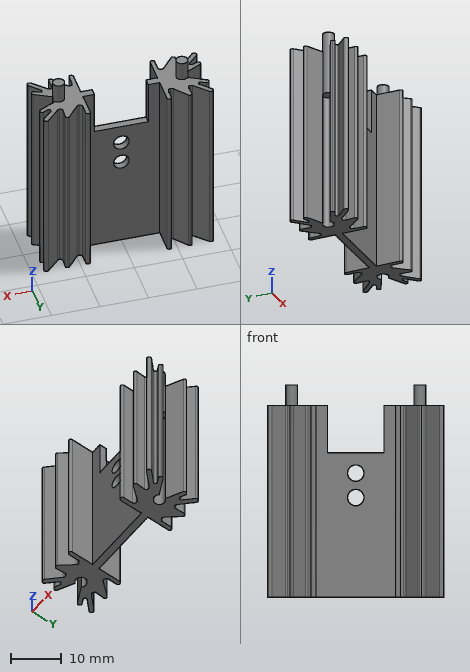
import cadquery as cq
import math

total_length = 34.9
total_width = 12.7
total_height = 42.05
sink_height = 38.02
half_length = total_length / 2
half_width = total_width / 2

pin_diameter = 2.4
pin_spacing = 25.4
pin_x = pin_spacing / 2
pin_embedment = 9.4

web_thickness = 1.6
notch_width = 11.1
notch_depth = 9.4
mounting_hole_diameter = 3.2
mounting_hole_heights = (19.75, 24.6)

inner_face_x = 7.9
straight_fin_thickness = 0.93
straight_fin_outer_x = inner_face_x + straight_fin_thickness
straight_fin_radius = straight_fin_thickness / 2

wedge_tip_left_x = 12.4
wedge_tip_right_x = 13.1
wedge_root_right_x = 12.9
wedge_tip_radius = 0.4
first_groove_y = 3.2
first_groove_right_x = 9.75
first_groove_radius = 0.6
second_groove_y = 3.35
second_groove_radius = 0.55

diagonal_fin_radius = 0.5
diagonal_tip_x = half_length - diagonal_fin_radius
diagonal_tip_y = half_width - diagonal_fin_radius
diagonal_corner_offset = diagonal_fin_radius * math.sqrt(2)
second_groove_right_x = diagonal_tip_x - (diagonal_tip_y + diagonal_corner_offset - second_groove_y)

outer_groove_upper_y = 3.45
outer_groove_upper_x = diagonal_tip_x + diagonal_corner_offset - (diagonal_tip_y - outer_groove_upper_y)
outer_groove_lower_x = 15.15
outer_groove_lower_y = 2.6
outer_groove_radius = 0.38

outer_fin_half_thickness = 0.45
outer_tip_radius = 0.4
outer_fin_angle = math.radians(26.5)
outer_tip_x = 16.95
outer_tip_y = 2.95
mouth_apex_y = 0.3


def tip_corner(center_x, center_y, half_thickness, angle, side):
    """Corner of a square fin end; side is +1 left or -1 right of the fin direction."""
    x = center_x + half_thickness * (math.cos(angle) - side * math.sin(angle))
    y = center_y + half_thickness * (math.sin(angle) + side * math.cos(angle))
    return x, y


def rounded_outline(corners):
    """Closed wire through (x, y, radius) corners, with a tangent arc at each radius."""
    shortest_line = 4.21e-07
    edges = []
    rounded_corners = []
    for index, (x, y, radius) in enumerate(corners):
        corner = cq.Vector(x, y)
        to_previous = (cq.Vector(*corners[index - 1][:2]) - corner).normalized()
        to_next = (cq.Vector(*corners[(index + 1) % len(corners)][:2]) - corner).normalized()
        half_angle = to_previous.getAngle(to_next) / 2
        setback = radius / math.tan(half_angle)
        bisector = (to_previous + to_next).normalized()
        middle = corner + bisector * (radius / math.sin(half_angle) - radius)
        rounded_corners.append((corner + to_previous * setback, middle, corner + to_next * setback, radius))
    line_start = rounded_corners[-1][2]
    for arc_start, middle, arc_end, radius in rounded_corners:
        if (arc_start - line_start).Length > shortest_line:
            edges.append(cq.Edge.makeLine(line_start, arc_start))
        else:
            arc_start = line_start
        if radius > 0:
            edges.append(cq.Edge.makeThreePointArc(arc_start, middle, arc_end))
        line_start = arc_end
    return cq.Wire.assembleEdges(edges)


def make_fin_cluster():
    """Fins at the +X end: one half of the section, extruded and mirrored across Y."""
    outer_tip = (outer_tip_x, outer_tip_y, outer_fin_half_thickness, outer_fin_angle)
    corners = [
        (inner_face_x, 0, 0),
        (inner_face_x, half_width, straight_fin_radius),
        (straight_fin_outer_x, half_width, straight_fin_radius),
        (straight_fin_outer_x, first_groove_y, first_groove_radius),
        (first_groove_right_x, first_groove_y, first_groove_radius),
        (wedge_tip_left_x, half_width, wedge_tip_radius),
        (wedge_tip_right_x, half_width, wedge_tip_radius),
        (wedge_root_right_x, second_groove_y, second_groove_radius),
        (second_groove_right_x, second_groove_y, second_groove_radius),
        (diagonal_tip_x, diagonal_tip_y + diagonal_corner_offset, diagonal_fin_radius),
        (diagonal_tip_x + diagonal_corner_offset, diagonal_tip_y, diagonal_fin_radius),
        (outer_groove_upper_x, outer_groove_upper_y, outer_groove_radius),
        (outer_groove_lower_x, outer_groove_lower_y, outer_groove_radius),
        (*tip_corner(*outer_tip, 1), outer_tip_radius),
        (*tip_corner(*outer_tip, -1), outer_tip_radius),
        (pin_x, mouth_apex_y, 0),
        (pin_x, 0, 0),
    ]
    half = cq.Workplane(rounded_outline(corners)).toPending().extrude(sink_height)
    return half.union(half.mirror("XZ"))


def make_web():
    """Web joining the two fin clusters, notched at the top and drilled through."""
    web = cq.Workplane().box(2 * inner_face_x, web_thickness, sink_height, centered=(True, True, False))
    notch = (
        cq.Workplane()
        .workplane(offset=sink_height - notch_depth)
        .box(notch_width, web_thickness, notch_depth, centered=(True, True, False))
    )
    holes = (
        cq.Workplane("XZ")
        .pushPoints([(0, height) for height in mounting_hole_heights])
        .circle(mounting_hole_diameter / 2)
        .extrude(web_thickness, both=True)
    )
    return web.cut(notch).cut(holes)


def make_heat_sink():
    """Complete extrusion, with a full-height bore for each pin."""
    cluster = make_fin_cluster()
    bores = (
        cq.Workplane()
        .pushPoints([(-pin_x, 0), (pin_x, 0)])
        .circle(pin_diameter / 2)
        .extrude(sink_height)
    )
    return cluster.union(cluster.mirror("YZ")).union(make_web()).cut(bores)


def make_pin(x):
    """Solder pin set into the top of its bore."""
    pin_bottom = sink_height - pin_embedment
    return (
        cq.Workplane()
        .workplane(offset=pin_bottom)
        .center(x, 0)
        .circle(pin_diameter / 2)
        .extrude(total_height - pin_bottom)
    )


heat_sink = make_heat_sink()
pins = [make_pin(side * pin_x) for side in (-1, 1)]

result = cq.Compound.makeCompound([heat_sink.val(), *[pin.val() for pin in pins]])